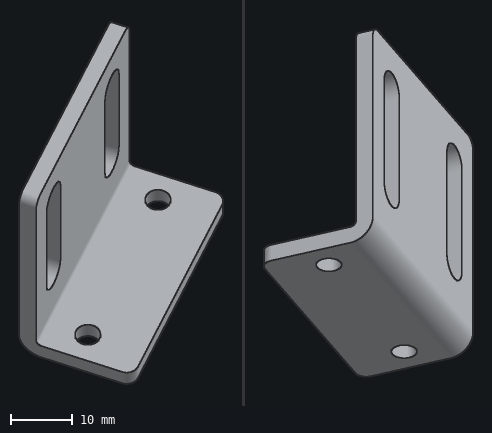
import cadquery as cq

flange_depth = 20.0
width = 40.0
height = 40.0

thickness = 3.0
inner_bend_radius = 1.0
outer_bend_radius = inner_bend_radius + thickness
corner_radius = 2.0

hole_diameter = 4.1
hole_x = flange_depth / 2
hole_edge_distance = 5.0
hole_spacing = width - 2 * hole_edge_distance

slot_width = 6.0
slot_length = 25.0
slot_spacing = 25.0
slot_top_margin = 5.0
slot_center_z = height - slot_top_margin - slot_length / 2


def bent_sheet():
    """L-shaped sheet, centred on Y, with its outer bend at X = 0, Z = 0."""
    profile = (
        cq.Workplane("XZ")
        .polyline([
            (0, 0),
            (flange_depth, 0),
            (flange_depth, thickness),
            (thickness, thickness),
            (thickness, height),
            (0, height),
        ])
        .close()
    )
    sheet = profile.extrude(width / 2, both=True)
    inner_edge = cq.selectors.NearestToPointSelector((thickness, 0, thickness))
    sheet = sheet.edges(inner_edge).fillet(inner_bend_radius)
    return sheet.edges("|Y and <X and <Z").fillet(outer_bend_radius)


def round_free_corners(sheet):
    """Round the two outer corners of each leg."""
    sheet = sheet.faces(">X").edges("|Z").fillet(corner_radius)
    return sheet.faces(">Z").edges("|X").fillet(corner_radius)


def flange_holes():
    return (
        cq.Workplane("XY")
        .pushPoints([(hole_x, side * hole_spacing / 2) for side in (-1, 1)])
        .circle(hole_diameter / 2)
        .extrude(thickness)
    )


def upright_slots():
    return (
        cq.Workplane("YZ")
        .pushPoints([(side * slot_spacing / 2, slot_center_z) for side in (-1, 1)])
        .slot2D(slot_length, slot_width, 90)
        .extrude(thickness)
    )


result = round_free_corners(bent_sheet()).cut(flange_holes()).cut(upright_slots())